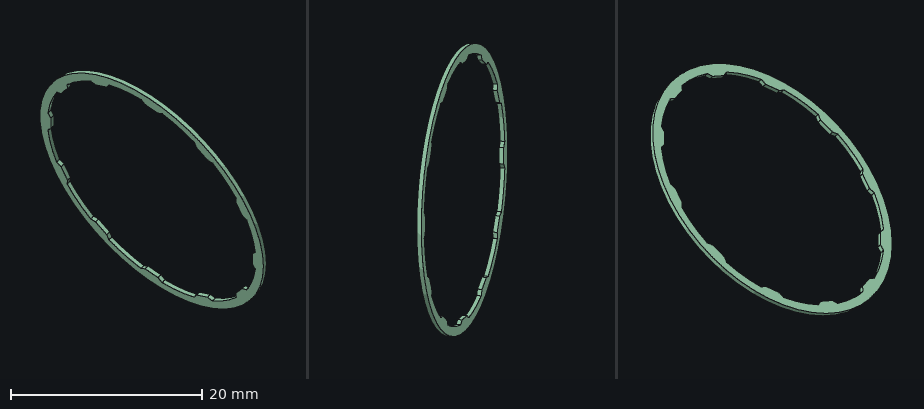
import math

import cadquery as cq

outer_diameter = 30.78
bore_diameter = 28.63
thickness = 0.52

lug_count = 12
lug_tip_distance = 13.85
lug_tip_width = 1.8
lug_base_width = 2.9

lug_pitch = 2 * math.pi / lug_count
bore_radius = bore_diameter / 2


def polar_point(radius, angle):
    """Point in the ring plane; the angle starts at +X and turns toward +Z."""
    return (radius * math.cos(angle), radius * math.sin(angle))


base_half_angle = math.asin(lug_base_width / 2 / bore_radius)
tip_half_angle = math.atan2(lug_tip_width / 2, lug_tip_distance)
tip_corner_radius = math.hypot(lug_tip_width / 2, lug_tip_distance)


def add_lug_and_bore_arc(profile, lug_angle):
    """Trace one lug from its first base corner, then the bore up to the next lug."""
    return (
        profile.lineTo(*polar_point(tip_corner_radius, lug_angle - tip_half_angle))
        .lineTo(*polar_point(tip_corner_radius, lug_angle + tip_half_angle))
        .lineTo(*polar_point(bore_radius, lug_angle + base_half_angle))
        .threePointArc(
            polar_point(bore_radius, lug_angle + lug_pitch / 2),
            polar_point(bore_radius, lug_angle + lug_pitch - base_half_angle),
        )
    )


ring_plane = cq.Workplane("XZ", origin=(0, thickness / 2, 0))
disc = ring_plane.circle(outer_diameter / 2).extrude(thickness)

opening_profile = ring_plane.moveTo(*polar_point(bore_radius, -base_half_angle))
for index in range(lug_count):
    opening_profile = add_lug_and_bore_arc(opening_profile, index * lug_pitch)
opening = opening_profile.close().extrude(thickness)

result = disc.cut(opening)